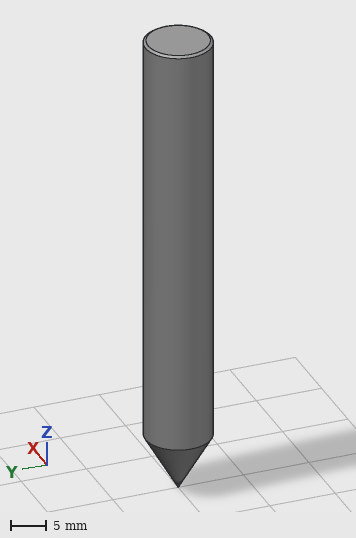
import cadquery as cq
import math

total_length = 72.0
pin_diameter = 10.0
point_angle = 60.0
chamfer_width = 0.4
chamfer_height = 0.3

pin_radius = pin_diameter / 2
point_height = pin_radius / math.tan(math.radians(point_angle / 2))

half_section = (
    cq.Workplane("XZ")
    .moveTo(0, 0)
    .lineTo(pin_radius, point_height)
    .lineTo(pin_radius, total_length - chamfer_height)
    .lineTo(pin_radius - chamfer_width, total_length)
    .lineTo(0, total_length)
    .close()
)

result = half_section.revolve(360, (0, 0), (0, 1))